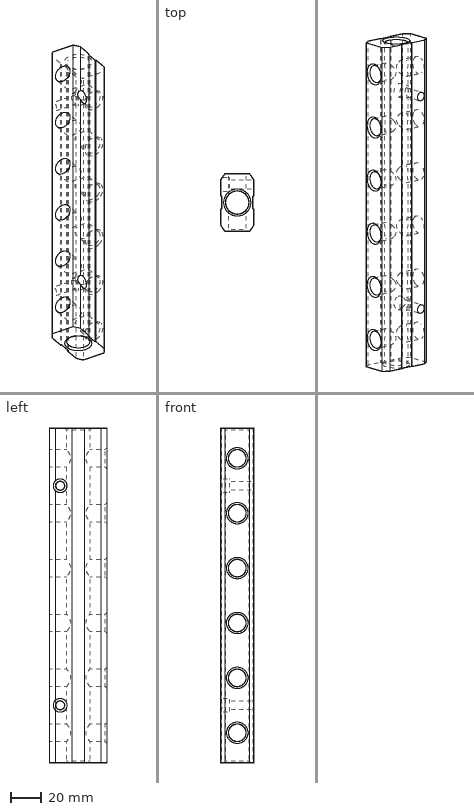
import cadquery as cq

width = 22.0
depth = 38.0
length = 220.0

chamfer_x = 2.9
chamfer_y = 4.2
groove_width = 8.4
groove_depth = 0.7

bore_diameter = 15.2
bore_mouth_diameter = 17.8

outlet_count = 6
outlet_pitch = 36.0
outlet_diameter = 11.5
outlet_mouth_diameter = 14.0

mount_y = 11.9
mount_spacing = (outlet_count - 2) * outlet_pitch
mount_diameter = 5.7
counterbore_diameter = 9.0
counterbore_depth = 6.0


def make_bar():
    """Bar with chamfered corners and a shallow groove along each wide side."""
    blank = cq.Workplane("XY").rect(width, depth).extrude(length)
    for side_x in (-1, 1):
        for side_y in (-1, 1):
            corner_x = side_x * width / 2
            corner_y = side_y * depth / 2
            corner = (
                cq.Workplane("XY")
                .moveTo(corner_x, corner_y)
                .lineTo(corner_x - side_x * chamfer_x, corner_y)
                .lineTo(corner_x, corner_y - side_y * chamfer_y)
                .close()
                .extrude(length)
            )
            blank = blank.cut(corner)
    grooves = (
        cq.Workplane("XY")
        .pushPoints([(-width / 2, 0), (width / 2, 0)])
        .rect(2 * groove_depth, groove_width)
        .extrude(length)
    )
    return blank.cut(grooves)


def flared_hole(start, direction, hole_length, diameter, mouth_diameter):
    """Cutter for a hole with a 45 degree countersink at its start."""
    mouth_depth = (mouth_diameter - diameter) / 2
    axis = cq.Vector(*direction)
    hole = cq.Solid.makeCylinder(diameter / 2, hole_length, start, axis)
    mouth = cq.Solid.makeCone(mouth_diameter / 2, diameter / 2, mouth_depth, start, axis)
    return hole.fuse(mouth)


def mounting_hole(z):
    """Cutter for a through hole counterbored from the -X side."""
    start = cq.Vector(-width / 2, mount_y, z)
    axis = cq.Vector(1, 0, 0)
    hole = cq.Solid.makeCylinder(mount_diameter / 2, width, start, axis)
    counterbore = cq.Solid.makeCylinder(counterbore_diameter / 2, counterbore_depth, start, axis)
    return hole.fuse(counterbore)


result = make_bar()

for end_z, direction_z in ((length, -1), (0, 1)):
    result = result.cut(
        flared_hole(
            cq.Vector(0, 0, end_z), (0, 0, direction_z), length, bore_diameter, bore_mouth_diameter
        )
    )

for index in range(outlet_count):
    outlet_z = length / 2 + (index - (outlet_count - 1) / 2) * outlet_pitch
    result = result.cut(
        flared_hole(
            cq.Vector(0, -depth / 2, outlet_z), (0, 1, 0), depth, outlet_diameter, outlet_mouth_diameter
        )
    )

for side in (-1, 1):
    result = result.cut(mounting_hole(length / 2 + side * mount_spacing / 2))